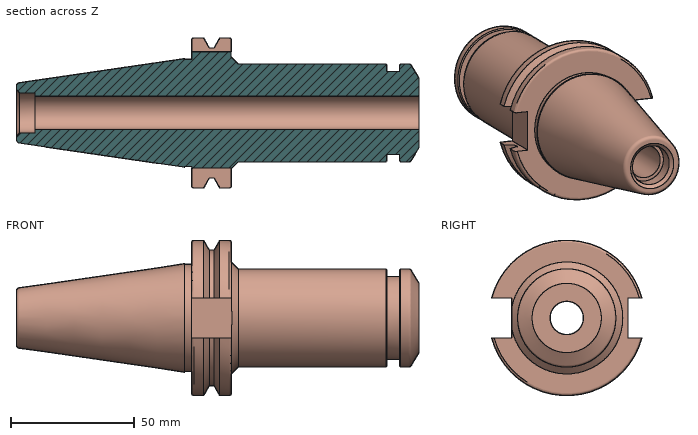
import cadquery as cq
import math

gauge_x = 68.3
flange_start = 71.3
flange_end = 87.5
v_groove_x = 79.5
cylinder_start = 90.3
ring_groove_start = 150.7
ring_groove_end = 155.8
nose_start = 160.2
total_length = 163.8

gauge_radius = 22.1
taper_slope = 7 / 48
small_end_radius = gauge_radius - taper_slope * gauge_x
small_end_fillet = 1.5
neck_radius = 43.7 / 2

flange_radius = 63.2 / 2
flange_fillet = 1.0
v_floor_radius = 27.7
v_floor_width = 2.0
v_mouth_width = v_floor_width + 2 * (flange_radius - v_floor_radius) * math.tan(math.radians(30))

collar_radius = 22.8
body_radius = 40.0 / 2
ring_groove_radius = 33.9 / 2
ring_groove_chamfer = 0.5
nose_radius = 14.1
nose_fillet = 1.3

slot_width = 16.2
front_slot_floor = 22.5
back_slot_floor = 24.9

bore_radius = 13.5 / 2
counterbore_radius = 16.2 / 2
counterbore_depth = 7.5
mouth_radius = 9.5
mouth_depth = mouth_radius - counterbore_radius


def revolve_about_x(points):
    outline = cq.Workplane("XY").polyline(points).close()
    return outline.revolve(360, (0, 0, 0), (1, 0, 0))


def circles_at(body, x, radius):
    """Circular edges of the body at the given station and radius."""
    margin = 0.08
    reach = radius + margin
    selector = cq.selectors.BoxSelector(
        (x - margin, -reach, -reach), (x + margin, reach, reach), boundingbox=True
    )
    return body.edges(selector)


def make_body():
    body = revolve_about_x([
        (0, 0),
        (0, small_end_radius),
        (gauge_x, gauge_radius),
        (gauge_x, neck_radius),
        (flange_start, neck_radius),
        (flange_start, flange_radius),
        (v_groove_x - v_mouth_width / 2, flange_radius),
        (v_groove_x - v_floor_width / 2, v_floor_radius),
        (v_groove_x + v_floor_width / 2, v_floor_radius),
        (v_groove_x + v_mouth_width / 2, flange_radius),
        (flange_end, flange_radius),
        (flange_end, collar_radius),
        (cylinder_start, body_radius),
        (ring_groove_start - ring_groove_chamfer, body_radius),
        (ring_groove_start, body_radius - ring_groove_chamfer),
        (ring_groove_start, ring_groove_radius),
        (ring_groove_end, ring_groove_radius),
        (ring_groove_end, body_radius - ring_groove_chamfer),
        (ring_groove_end + ring_groove_chamfer, body_radius),
        (nose_start, body_radius),
        (total_length, nose_radius),
        (total_length, 0),
    ])
    body = circles_at(body, 0, small_end_radius).fillet(small_end_fillet)
    body = circles_at(body, nose_start, body_radius).fillet(nose_fillet)
    for x in (flange_start, flange_end):
        rim = cq.selectors.RadiusNthSelector(-1)
        body = circles_at(body, x, flange_radius).edges(rim).fillet(flange_fillet)
    return body


def make_slot(side, floor):
    """Slot tool through the flange and the cone behind it; side is -1 or +1 along Y."""
    length = cylinder_start - flange_start
    depth = flange_radius - floor
    return cq.Workplane("XY").box(length, depth, slot_width).translate(
        (flange_start + length / 2, side * (floor + depth / 2), 0)
    )


def make_bore():
    return revolve_about_x([
        (0, 0),
        (0, mouth_radius),
        (mouth_depth, counterbore_radius),
        (counterbore_depth, counterbore_radius),
        (counterbore_depth, bore_radius),
        (total_length, bore_radius),
        (total_length, 0),
    ])


result = (
    make_body()
    .cut(make_slot(-1, front_slot_floor))
    .cut(make_slot(1, back_slot_floor))
    .cut(make_bore())
)